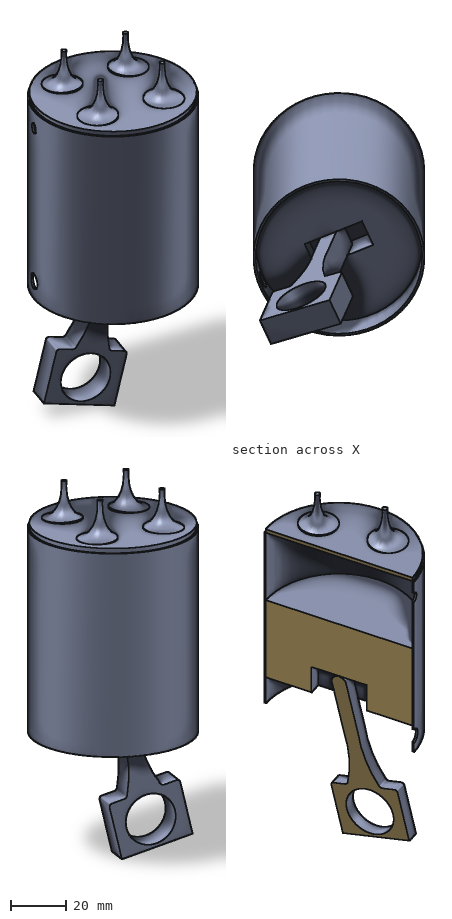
import cadquery as cq
import math

overall_top = 140.9
housing_bottom = 47.5
housing_top = 124.7
cap_top = 126.5

housing_diameter = 61.7
bore_diameter = 60.0
small_port_diameter = 4.0
small_port_z = 117.7
large_port_diameter = 6.0
large_port_z = 54.7

cap_diameter = 60.5

spike_count = 4
foot_diameter = 15.0
foot_circle_radius = 19.2
foot_start_angle = 51.3
spike_axis_radius = 18.3
spike_start_angle = 53.7
tip_radius = 1.0
flare_low_radius = 4.2
flare_low_height = 2.1
flare_high_radius = 1.7
flare_high_height = 6.6
flare_base_radius = 8.6

rod_thickness = 10.1
rod_angle = 13.3
big_end_y = -12.7
big_end_z = 14.0
big_end_width = 28.2
big_end_height = 22.0
big_end_bore = 19.3
big_end_corner_radius = 1.3
shank_half_width = 3.1
shank_middle_half_width = 4.0
shank_root_half_width = 7.0
shank_root_radius = 1.4
shank_middle_v = 20.5
shank_straight_v = 33.8
rod_length = -big_end_y / math.sin(math.radians(rod_angle))
wrist_z = big_end_z + rod_length * math.cos(math.radians(rod_angle))

piston_bottom = 59.2
piston_top = 94.4
slot_length = 22.5


def vertical_cylinder(diameter, bottom, top, center=(0, 0)):
    return (
        cq.Workplane("XY", origin=(center[0], center[1], bottom))
        .circle(diameter / 2)
        .extrude(top - bottom)
    )


def polar_point(radius, angle):
    return (radius * math.cos(math.radians(angle)), radius * math.sin(math.radians(angle)))


def radial_port(diameter, z):
    """Cutter running from the housing axis out through the -Y wall."""
    return cq.Workplane("XZ", origin=(0, 0, z)).circle(diameter / 2).extrude(housing_diameter)


def make_housing():
    tube = vertical_cylinder(housing_diameter, housing_bottom, housing_top)
    tube = tube.cut(vertical_cylinder(bore_diameter, housing_bottom, housing_top))
    tube = tube.cut(radial_port(small_port_diameter, small_port_z))
    return tube.cut(radial_port(large_port_diameter, large_port_z))


def spike_foot(angle_step, top):
    center = polar_point(foot_circle_radius, foot_start_angle + angle_step)
    return vertical_cylinder(foot_diameter, housing_top, top, center)


def make_spike(angle_step):
    """Foot seated in the cap, carrying a flare that stays within the foot's circle."""
    height = overall_top - cap_top
    axis_x, axis_y = polar_point(spike_axis_radius, spike_start_angle + angle_step)
    flare_curve = [
        (flare_low_radius, flare_low_height),
        (flare_high_radius, flare_high_height),
        (tip_radius, height),
    ]
    flare = (
        cq.Workplane("XZ", origin=(axis_x, axis_y, cap_top))
        .lineTo(flare_base_radius, 0)
        .spline(flare_curve, includeCurrent=True)
        .lineTo(0, height)
        .close()
        .revolve(360, (0, 0, 0), (0, 1, 0))
    )
    flare = flare.intersect(spike_foot(angle_step, overall_top))
    return spike_foot(angle_step, cap_top).union(flare)


def make_cap(angle_steps):
    cap = vertical_cylinder(cap_diameter, housing_top, cap_top)
    for angle_step in angle_steps:
        cap = cap.cut(spike_foot(angle_step, cap_top))
    return cap


def make_rod():
    """Rod drawn upright with the big-end centre at the origin, then leaned into place."""
    shoulder_v = big_end_height / 2
    big_end = (
        cq.Workplane("YZ")
        .rect(big_end_width, big_end_height)
        .extrude(rod_thickness / 2, both=True)
        .edges("|X and >Z")
        .fillet(big_end_corner_radius)
    )
    shank = (
        cq.Workplane("YZ")
        .moveTo(-shank_root_half_width, 0)
        .lineTo(-shank_root_half_width, shoulder_v)
        .threePointArc((-shank_middle_half_width, shank_middle_v), (-shank_half_width, shank_straight_v))
        .lineTo(-shank_half_width, rod_length)
        .threePointArc((0, rod_length + shank_half_width), (shank_half_width, rod_length))
        .lineTo(shank_half_width, shank_straight_v)
        .threePointArc((shank_middle_half_width, shank_middle_v), (shank_root_half_width, shoulder_v))
        .lineTo(shank_root_half_width, 0)
        .close()
        .extrude(rod_thickness / 2, both=True)
    )
    rod = big_end.union(shank)
    for side in (-1, 1):
        root_point = (0, side * shank_root_half_width, shoulder_v)
        rod = rod.edges(cq.NearestToPointSelector(root_point)).fillet(shank_root_radius)
    bore = (
        cq.Workplane("YZ", origin=(-rod_thickness / 2, 0, 0))
        .circle(big_end_bore / 2)
        .extrude(rod_thickness)
    )
    rod = rod.cut(bore)
    rod = rod.rotate((0, 0, 0), (1, 0, 0), -rod_angle)
    return rod.translate((0, big_end_y, big_end_z))


def make_piston():
    piston = vertical_cylinder(bore_diameter, piston_bottom, piston_top)
    slot_height = wrist_z + shank_half_width - piston_bottom
    slot = (
        cq.Workplane("XY", origin=(0, 0, piston_bottom))
        .rect(rod_thickness, slot_length)
        .extrude(slot_height)
    )
    return piston.cut(slot)


spike_steps = [i * 360 / spike_count for i in range(spike_count)]
housing = make_housing()
cap = make_cap(spike_steps)
spikes = [make_spike(step) for step in spike_steps]
piston = make_piston()
rod = make_rod()

result = cq.Compound.makeCompound(
    [housing.val(), cap.val(), *[spike.val() for spike in spikes], piston.val(), rod.val()]
)